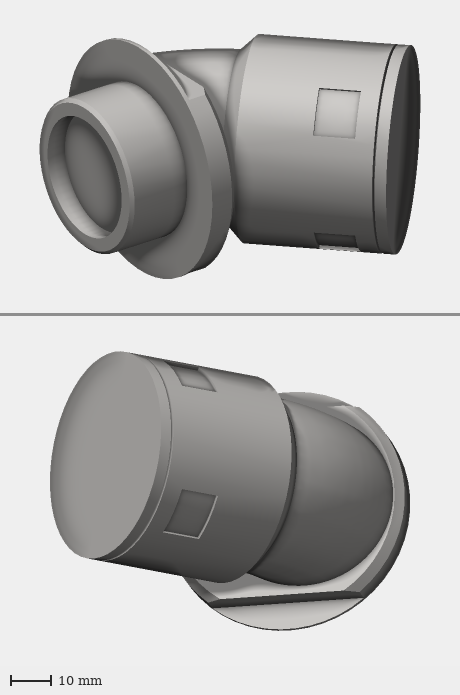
import cadquery as cq
import math

overall_width = 82.8
overall_length = 91.2

spigot_diameter = 40.0
spigot_length = 16.9
spigot_chamfer = 0.9
spigot_bore_diameter = 31.5
spigot_bore_depth = 5.3

flange_diameter = 61.5
rim_thickness = 1.2
flange_thickness = 8.1
flange_chamfer = 2.1
across_flats = 48.0

bend_angle = 45
cup_diameter = 52.0
cup_length = 38.0
cup_back_diameter = 42.5
groove_diameter = 46.0
groove_width = 0.6
cap_thickness = 2.9

pocket_count = 4
pocket_length = 10.5
pocket_width = 12.5
pocket_depth = 0.9
pocket_setback = 8.4

neck_diameter = 44.0
neck_bend_radius = 49.3

flange_top = spigot_length + flange_thickness
cone_length = (cup_diameter - cup_back_diameter) / 2
axis_x = math.sin(math.radians(bend_angle))
axis_y = math.cos(math.radians(bend_angle))
cup_face_x = overall_width - flange_diameter / 2 - cup_diameter / 2 * axis_y
cup_face_y = overall_length - cup_diameter / 2 * axis_x
cup_plane = cq.Plane(
    origin=(cup_face_x, cup_face_y, 0),
    xDir=(axis_y, -axis_x, 0),
    normal=(axis_x, axis_y, 0),
)


def disc(diameter, start_y, length):
    """Cylinder around the Y axis, growing toward +Y."""
    plane = cq.Plane(origin=(0, start_y, 0), xDir=(1, 0, 0), normal=(0, 1, 0))
    return cq.Workplane(plane).circle(diameter / 2).extrude(length)


def make_spigot():
    return disc(spigot_diameter, 0, spigot_length).faces("<Y").chamfer(spigot_chamfer)


def make_flange():
    """Thin round rim with a chamfered collar that has two flats."""
    rim = disc(flange_diameter, spigot_length, rim_thickness)
    collar = disc(flange_diameter, spigot_length, flange_thickness)
    collar = collar.faces(">Y").chamfer(flange_chamfer)
    flats = cq.Workplane("XY").box(flange_diameter, 2 * flange_top, across_flats)
    return rim.union(collar.intersect(flats))


def make_neck():
    """Circular section swept from inside the cup back to the flange, around an axis parallel to Z."""
    start = cup_plane.origin - cup_plane.zDir * cup_length
    bend = (
        cq.Workplane(cq.Plane(origin=start, xDir=cup_plane.xDir, normal=cup_plane.zDir))
        .circle(neck_diameter / 2)
        .revolve(bend_angle, (neck_bend_radius, 0.9, 0), (neck_bend_radius, 0, 0))
    )
    return bend.cut(disc(2 * flange_diameter, 0, spigot_length))


def make_cup():
    """Cylinder with a conical back and a narrow groove behind the end cap."""
    radius = cup_diameter / 2
    groove_radius = groove_diameter / 2
    groove_front = -cap_thickness
    groove_back = groove_front - groove_width
    profile = cq.Plane(origin=cup_plane.origin, xDir=cup_plane.xDir, normal=(0, 0, 1))
    return (
        cq.Workplane(profile)
        .polyline([
            (0, 0),
            (radius, 0),
            (radius, groove_front),
            (groove_radius, groove_front),
            (groove_radius, groove_back),
            (radius, groove_back),
            (radius, -cup_length),
            (cup_back_diameter / 2, -cup_length - cone_length),
            (0, -cup_length - cone_length),
        ])
        .close()
        .revolve(360, (0, 0), (0, 1))
    )


def make_pockets():
    """Straight-sided blocks around the cup, ending on a round pocket floor."""
    blocks = (
        cq.Workplane(cup_plane.rotated((0, 0, 180 / pocket_count)))
        .workplane(offset=-pocket_setback - pocket_length / 2)
        .polarArray(cup_diameter / 2, 0, 360, pocket_count)
        .box(cup_diameter / 2, pocket_width, pocket_length)
    )
    floor = cq.Workplane(cup_plane).circle(cup_diameter / 2 - pocket_depth).extrude(-cup_length)
    return blocks.cut(floor)


body = make_spigot().union(make_flange()).union(make_neck()).union(make_cup())
spigot_bore = disc(spigot_bore_diameter, 0, spigot_bore_depth)
result = body.cut(spigot_bore).cut(make_pockets())